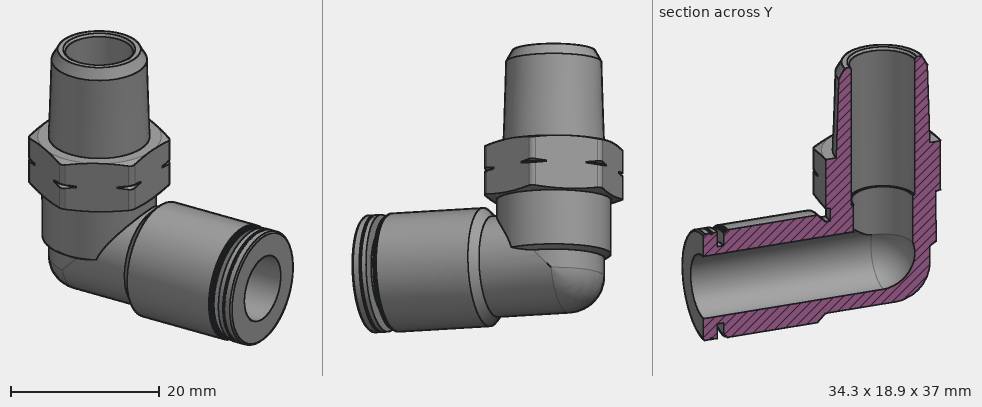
import cadquery as cq

overlap = 0.2

elbow_radius = 13.6 / 2
bend_offset = 1.78

collar_radius = 15.4 / 2
collar_bottom = 1.22
collar_chamfer_height = 0.55

hex_width = 16.65
hex_corner_fillet = 0.92
hex_bottom = 8.62
hex_height = 7.35
hex_top = hex_bottom + hex_height
hex_corner_radius = 18.95 / 2
hex_bottom_face_radius = 15.8 / 2
hex_top_face_radius = hex_width / 2
hex_top_corner_drop = 0.4
hex_bottom_corner_drop = 0.48
notch_radius = 8.77
notch_outer_height = 0.65
notch_inner_height = 0.15
notch_middle = 12.4

thread_top = 29.0
thread_chamfer_height = 1.5
thread_root_radius = elbow_radius
thread_end_radius = 6.45
thread_tip_radius = 5.6

sleeve_start = 8.32
sleeve_radius = 16.0 / 2
sleeve_chamfer = sleeve_radius - elbow_radius
sleeve_end = 22.5
sleeve_end_chamfer = 0.15
outer_ring_radius = 15.6 / 2
outer_ring_end = 22.85
inner_ring_radius = 7.62
inner_ring_end = 23.1
neck_radius = 11.5 / 2
button_start = 23.98
button_end = 26.0
button_radius = 15.8 / 2
button_groove_radius = 15.4 / 2
button_groove_start = 24.68
button_groove_width = 0.25
button_chamfer = 0.22

thread_bore_radius = 9.15 / 2
thread_mouth_radius = 9.7 / 2
thread_mouth_depth = 0.37
lower_bore_radius = 8.5 / 2
tube_bore_radius = 9.15 / 2


def turned_z(profile):
    """Revolve (radius, z) points about the Z axis."""
    return cq.Workplane("XZ").polyline(profile).close().revolve(360, (0, 0), (0, 1))


def turned_x(profile):
    """Revolve (x, radius) points about the X axis."""
    return cq.Workplane("XZ").polyline(profile).close().revolve(360, (0, 0), (1, 0))


def elbow():
    """Two equal cylinders mitred at 45 degrees, with a quarter-round outer bend."""
    offset = bend_offset
    radius = elbow_radius

    def half_space(points):
        return cq.Workplane("XZ").polyline(points).close().extrude(2 * radius, both=True)

    riser = cq.Workplane("XY").workplane(offset=-offset).circle(radius).extrude(hex_bottom + offset)
    riser = riser.intersect(half_space([
        (-2 * radius, -offset), (-offset, -offset), (hex_bottom, hex_bottom), (-2 * radius, hex_bottom),
    ]))
    arm_end = sleeve_start + overlap
    arm = cq.Workplane("YZ").workplane(offset=-offset).circle(radius).extrude(arm_end + offset)
    arm = arm.intersect(half_space([
        (-offset, -2 * radius), (-offset, -offset), (arm_end, arm_end), (arm_end, -2 * radius),
    ]))
    half_chord = (radius**2 - offset**2) ** 0.5
    bend = (
        cq.Workplane("XY", origin=(0, 0, -offset))
        .moveTo(-offset, -half_chord)
        .threePointArc((-radius, 0), (-offset, half_chord))
        .close()
        .revolve(90, (-offset, 0.37, 0), (-offset, 0, 0))
    )
    return riser.union(arm).union(bend)


def collar():
    return turned_z([
        (0, collar_bottom - collar_chamfer_height),
        (elbow_radius, collar_bottom - collar_chamfer_height),
        (collar_radius, collar_bottom),
        (collar_radius, hex_bottom + overlap),
        (0, hex_bottom + overlap),
    ])


def hexagon():
    """Hexagon with flats facing +X and -X, chamfered ends and a notch across each corner."""
    across_corners = hex_width * 2 / 3**0.5
    body = (
        cq.Workplane("XY", origin=(0, 0, hex_bottom))
        .transformed(rotate=(0, 0, 30))
        .polygon(6, across_corners)
        .extrude(hex_height)
        .edges("|Z")
        .fillet(hex_corner_fillet)
    )
    chamfers = turned_z([
        (0, hex_bottom),
        (hex_bottom_face_radius, hex_bottom),
        (hex_corner_radius + overlap, hex_bottom + hex_bottom_corner_drop),
        (hex_corner_radius + overlap, hex_top - hex_top_corner_drop),
        (hex_top_face_radius, hex_top),
        (0, hex_top),
    ])
    notch = turned_z([
        (notch_radius, notch_middle - notch_inner_height / 2),
        (hex_corner_radius + overlap, notch_middle - notch_outer_height / 2),
        (hex_corner_radius + overlap, notch_middle + notch_outer_height / 2),
        (notch_radius, notch_middle + notch_inner_height / 2),
    ])
    return body.intersect(chamfers).cut(notch)


def thread():
    return turned_z([
        (0, hex_top - overlap),
        (thread_root_radius, hex_top - overlap),
        (thread_root_radius, hex_top),
        (thread_end_radius, thread_top - thread_chamfer_height),
        (thread_tip_radius, thread_top),
        (0, thread_top),
    ])


def tube_end():
    """Sleeve, stepped end rings, neck and grooved release button."""
    groove_end = button_groove_start + button_groove_width
    return turned_x([
        (sleeve_start, 0),
        (sleeve_start, elbow_radius),
        (sleeve_start + sleeve_chamfer, sleeve_radius),
        (sleeve_end, sleeve_radius),
        (sleeve_end + sleeve_end_chamfer, sleeve_radius - sleeve_end_chamfer),
        (sleeve_end + sleeve_end_chamfer, outer_ring_radius),
        (outer_ring_end, outer_ring_radius),
        (outer_ring_end, inner_ring_radius),
        (inner_ring_end, inner_ring_radius),
        (inner_ring_end, neck_radius),
        (button_start, neck_radius),
        (button_start, button_radius),
        (button_groove_start, button_radius),
        (button_groove_start, button_groove_radius),
        (groove_end, button_groove_radius),
        (groove_end, button_radius),
        (button_end - button_chamfer, button_radius),
        (button_end, button_radius - button_chamfer),
        (button_end, 0),
    ])


def bores():
    """Stepped vertical bore meeting a round-ended bore along the tube leg."""
    vertical = turned_z([
        (0, 0),
        (lower_bore_radius, 0),
        (lower_bore_radius, hex_bottom),
        (thread_bore_radius, hex_bottom),
        (thread_bore_radius, thread_top - thread_mouth_depth),
        (thread_mouth_radius, thread_top),
        (0, thread_top),
    ])
    horizontal = cq.Workplane("YZ").circle(tube_bore_radius).extrude(button_end)
    return vertical.union(horizontal).union(cq.Workplane("XY").sphere(tube_bore_radius))


result = elbow().union(collar()).union(hexagon()).union(thread()).union(tube_end()).cut(bores())